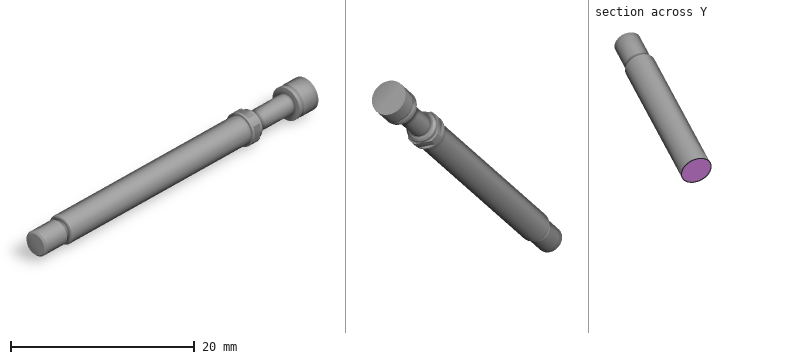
import cadquery as cq
import math

LENGTH = 43.1

HEAD_DIAMETER = 4.0
HEAD_LENGTH = 3.0
GROOVE_DIAMETER = 3.75
GROOVE_START = 1.95
GROOVE_BOTTOM = 2.25
GROOVE_END = 2.65
ROD_DIAMETER = 2.5
ROD_LENGTH = 5.45

BARREL_DIAMETER = 3.5
BARREL_LENGTH = 30.7
BARREL_CHAMFER = 0.2
BARREL_ROUNDING = 0.25

COLLAR_DIAMETER = HEAD_DIAMETER
WRENCH_START = 0.65
WRENCH_LENGTH = 1.05
RING_LENGTH = 0.3

NECK_DIAMETER = 2.5
NECK_LENGTH = 0.25
TAIL_DIAMETER = 3.0
TAIL_END_CHAMFER = 0.2

rod_front = LENGTH - HEAD_LENGTH
barrel_front = rod_front - ROD_LENGTH
barrel_rear = barrel_front - BARREL_LENGTH
tail_front = barrel_rear - NECK_LENGTH
wrench_front = barrel_front - WRENCH_START
wrench_rear = wrench_front - WRENCH_LENGTH
ring_rear = wrench_rear - RING_LENGTH


def make_pin():
    """Turned body of the pin: half profile as (radius, y), revolved about Y."""
    head_radius = HEAD_DIAMETER / 2
    rod_radius = ROD_DIAMETER / 2
    barrel_radius = BARREL_DIAMETER / 2
    neck_radius = NECK_DIAMETER / 2
    tail_radius = TAIL_DIAMETER / 2
    neck_chamfer = tail_radius - neck_radius
    rounding_inset = BARREL_ROUNDING * (1 - math.sqrt(0.5))
    rear_outline = [
        (0, 0),
        (tail_radius - TAIL_END_CHAMFER, 0),
        (tail_radius, TAIL_END_CHAMFER),
        (tail_radius, tail_front - neck_chamfer),
        (neck_radius, tail_front),
        (neck_radius, barrel_rear),
        (barrel_radius - BARREL_ROUNDING, barrel_rear),
    ]
    rounding_middle = (barrel_radius - rounding_inset, barrel_rear + rounding_inset)
    rounding_end = (barrel_radius, barrel_rear + BARREL_ROUNDING)
    front_outline = [
        (barrel_radius, barrel_front - BARREL_CHAMFER),
        (barrel_radius - BARREL_CHAMFER, barrel_front),
        (rod_radius, barrel_front),
        (rod_radius, rod_front),
        (head_radius, rod_front),
        (head_radius, LENGTH - GROOVE_END),
        (GROOVE_DIAMETER / 2, LENGTH - GROOVE_BOTTOM),
        (head_radius, LENGTH - GROOVE_START),
        (head_radius, LENGTH),
        (0, LENGTH),
    ]
    return (
        cq.Workplane("XY")
        .polyline(rear_outline)
        .threePointArc(rounding_middle, rounding_end)
        .polyline(front_outline, includeCurrent=True)
        .close()
        .revolve(360, (0, 0), (0, 1))
    )


def make_disc(diameter, rear, length):
    """Cylinder on the pin axis, extending from `rear` towards +Y."""
    return cq.Workplane("XZ", origin=(0, rear, 0)).circle(diameter / 2).extrude(-length)


def make_wrench_section():
    """Collar with four flats, each tangent to the barrel surface."""
    square = (
        cq.Workplane("XZ", origin=(0, wrench_rear, 0))
        .rect(BARREL_DIAMETER, BARREL_DIAMETER)
        .extrude(-WRENCH_LENGTH)
    )
    return make_disc(COLLAR_DIAMETER, wrench_rear, WRENCH_LENGTH).intersect(square)


stop_ring = make_disc(COLLAR_DIAMETER, ring_rear, RING_LENGTH)
result = make_pin().union(make_wrench_section()).union(stop_ring)